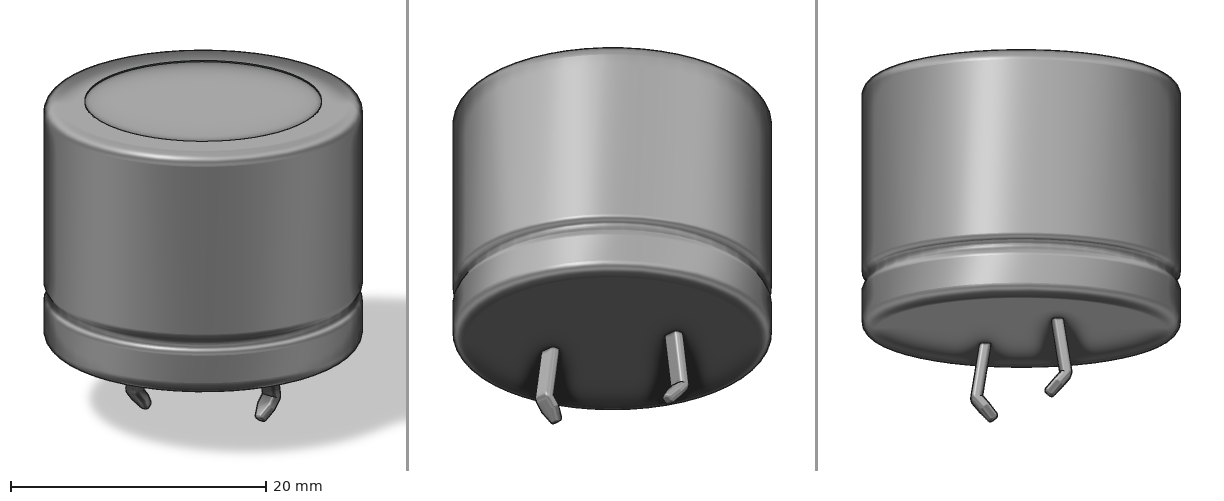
import cadquery as cq
import math

can_diameter = 24.96
can_height = 20.0
can_radius = can_diameter / 2
rim_radius = 1.0
recess_diameter = 18.55
recess_depth = 0.1

groove_height = 4.15
groove_half_width = 0.9
throat_radius = 24.57 / 2
throat_half_width = 0.4
groove_floor_radius = 24.35 / 2
floor_half_width = 0.05
groove_clearance = 0.25

overall_height = 26.15
pin_drop = overall_height - can_height
pin_width = 1.5
pin_thickness = 0.85
pin_edge_radius = 0.31
pin_offset = 3.55
pin_lean_direction = -74.0
pin_embed = 0.78
elbow_drop = 4.31
elbow_outer_radius = 0.75
shank_angle = math.radians(9)
tip_angle = math.radians(41)
tip_end_width = 0.73
tip_end_radius = 0.2
tip_taper_length = 1.18


def make_can():
    can = cq.Workplane("XY").circle(can_radius).extrude(can_height)
    can = can.edges("%CIRCLE").fillet(rim_radius)
    recess = (
        cq.Workplane("XY")
        .workplane(offset=can_height - recess_depth)
        .circle(recess_diameter / 2)
        .extrude(recess_depth)
    )
    return can.cut(recess).cut(make_groove())


def make_groove():
    """Ring with rounded shoulders, concave flanks and a narrow cylindrical floor."""
    low_edge = (can_radius, groove_height - groove_half_width)
    low_throat = (throat_radius, groove_height - throat_half_width)
    low_floor = (groove_floor_radius, groove_height - floor_half_width)
    high_floor = (groove_floor_radius, groove_height + floor_half_width)
    high_throat = (throat_radius, groove_height + throat_half_width)
    high_edge = (can_radius, groove_height + groove_half_width)
    shoulder_arc = tangent_arc_radius(groove_half_width - throat_half_width, can_radius - throat_radius)
    flank_arc = tangent_arc_radius(throat_half_width - floor_half_width, throat_radius - groove_floor_radius)
    return (
        cq.Workplane("XZ")
        .moveTo(*low_edge)
        .radiusArc(low_throat, -shoulder_arc)
        .radiusArc(low_floor, flank_arc)
        .lineTo(*high_floor)
        .radiusArc(high_throat, flank_arc)
        .radiusArc(high_edge, -shoulder_arc)
        .lineTo(can_radius + groove_clearance, high_edge[1])
        .lineTo(can_radius + groove_clearance, low_edge[1])
        .close()
        .revolve(360, (0, 0, 0), (0, 1, 0))
    )


def tangent_arc_radius(run, drop):
    """Radius of an arc that starts along the run and ends offset sideways by the drop."""
    return (run**2 + drop**2) / (2 * drop)


def make_pin():
    """Pin in its own frame: leaning toward +X, hanging below Z = 0."""
    half = pin_thickness / 2
    shank_slope = math.tan(shank_angle)
    elbow = cq.Vector(elbow_drop * shank_slope, 0, -elbow_drop)
    top = cq.Vector(-pin_embed * shank_slope, 0, pin_embed)

    corner_drop = (half - tip_end_radius) * math.sin(tip_angle) + tip_end_radius
    tip_length = (pin_drop - elbow_drop - corner_drop) / math.cos(tip_angle) + tip_end_radius
    tip_direction = cq.Vector(-math.sin(tip_angle), 0, -math.cos(tip_angle))
    tip = elbow + tip_direction * tip_length

    shank_normal = cq.Vector(math.cos(shank_angle), 0, math.sin(shank_angle))
    tip_normal = cq.Vector(math.cos(tip_angle), 0, -math.sin(tip_angle))
    half_bend = (shank_angle + tip_angle) / 2
    miter = (shank_normal + tip_normal).normalized() * (half / math.cos(half_bend))

    side = [
        top + shank_normal * half,
        elbow + miter,
        tip + tip_normal * half,
        tip - tip_normal * half,
        elbow - miter,
        top - shank_normal * half,
    ]
    bent_strip = (
        cq.Workplane("XZ")
        .polyline([(point.x, point.z) for point in side])
        .close()
        .extrude(pin_width / 2, both=True)
    )
    outer_bend = cq.NearestToPointSelector((elbow + miter).toTuple())
    bent_strip = bent_strip.edges(outer_bend).fillet(elbow_outer_radius)

    pin = bent_strip.cut(make_tip_taper(tip, tip_normal))
    inner_bend = cq.NearestToPointSelector((elbow - miter).toTuple())
    tip_end = cq.NearestToPointSelector(tip.toTuple())
    end_edges = pin.faces(tip_end).edges().vals()
    kept_sharp = end_edges + pin.faces(">Z").edges().vals() + pin.edges(inner_bend).vals()
    rounded = [edge for edge in pin.edges().vals() if not any(edge.isSame(sharp) for sharp in kept_sharp)]
    pin = pin.newObject(rounded).fillet(pin_edge_radius)
    return pin.faces(tip_end).edges().fillet(tip_end_radius)


def make_tip_taper(tip, tip_normal):
    """Two wedges that narrow the tip evenly from both sides."""
    frame = cq.Plane(tip.toTuple(), xDir=(0, 1, 0), normal=tip_normal.toTuple())
    wedges = cq.Workplane(frame)
    for side in (-1, 1):
        wedges = wedges.polyline(
            [
                (side * tip_end_width / 2, 0),
                (side * pin_width / 2, tip_taper_length),
                (side * pin_width / 2, 0),
            ]
        ).close()
    return wedges.extrude(pin_thickness, both=True)


pin = make_pin().rotate((0, 0, 0), (0, 0, 1), pin_lean_direction).translate((-pin_offset, -pin_offset, 0))
opposite_pin = pin.rotate((0, 0, 0), (0, 0, 1), 180)
result = make_can().union(pin).union(opposite_pin)